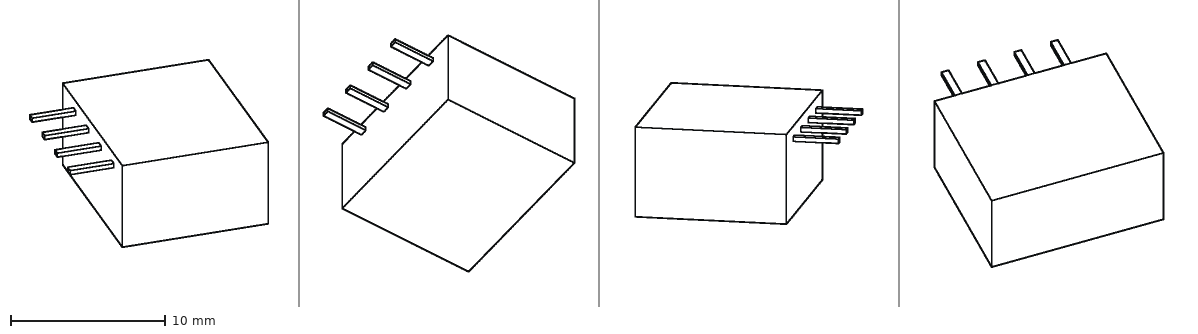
import cadquery as cq

body_width = 12.0
body_depth = 10.0
body_height = 6.0

pin_count = 4
pin_pitch = 2.54
pin_width = 0.5
pin_thickness = 0.3
pin_length = 3.0
pin_row_offset = 0.25
pin_top_gap = 0.7


def make_body():
    """Body centred on X and Y, standing on Z = 0."""
    return cq.Workplane("XY").box(body_width, body_depth, body_height, centered=(True, True, False))


def make_pin(pin_x):
    """One flat pin reaching out from the -Y face of the body."""
    pin_tip_y = -body_depth / 2 - pin_length
    pin_bottom_z = body_height - pin_top_gap - pin_thickness
    return (
        cq.Workplane("XY")
        .box(pin_width, pin_length, pin_thickness, centered=(True, False, False))
        .translate((pin_x, pin_tip_y, pin_bottom_z))
    )


result = make_body()
first_pin_x = pin_row_offset - pin_pitch * (pin_count - 1) / 2
for pin_index in range(pin_count):
    result = result.union(make_pin(first_pin_x + pin_index * pin_pitch))